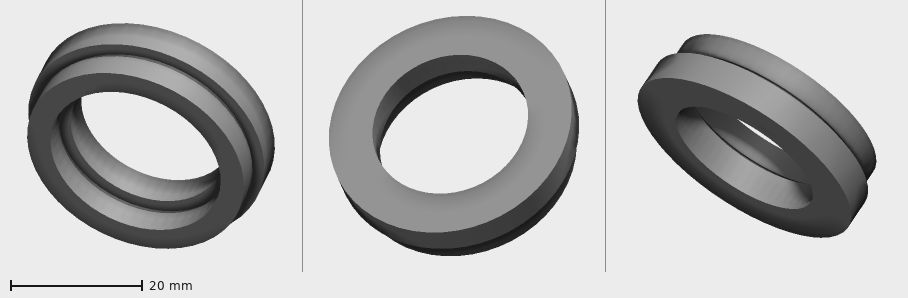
import cadquery as cq

flange_diameter = 38.1
spigot_diameter = 35.0
bore_diameter = 24.4
counterbore_diameter = 27.5

total_length = 10.0
flange_length = 5.0

relief_width = 1.0
relief_depth = 0.45
outer_relief_diameter = spigot_diameter - 2 * relief_depth
inner_relief_diameter = counterbore_diameter + 2 * relief_depth

spigot_face = -total_length / 2
flange_face = total_length / 2
step_face = flange_face - flange_length
relief_start = step_face - relief_width


def cylinder(diameter, start, end):
    """Solid cylinder about the Y axis between two Y positions."""
    axis_plane = cq.Plane(origin=(0, start, 0), xDir=(0, 0, 1), normal=(0, 1, 0))
    return cq.Workplane(axis_plane).circle(diameter / 2).extrude(end - start)


spigot = cylinder(spigot_diameter, spigot_face, relief_start)
outer_relief = cylinder(outer_relief_diameter, relief_start, step_face)
flange = cylinder(flange_diameter, step_face, flange_face)
body = spigot.union(outer_relief).union(flange)

bore = cylinder(bore_diameter, spigot_face, flange_face)
counterbore = cylinder(counterbore_diameter, spigot_face, step_face)
inner_relief = cylinder(inner_relief_diameter, relief_start, step_face)

result = body.cut(bore).cut(counterbore).cut(inner_relief)